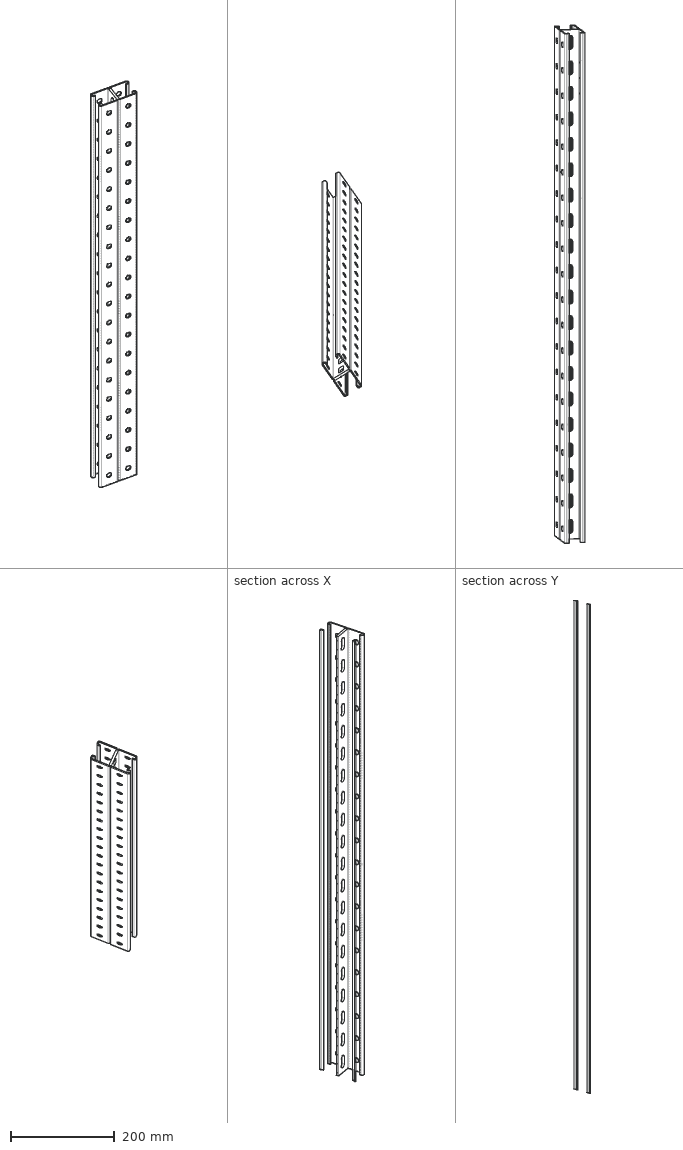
import cadquery as cq

length = 1000.0
width = 41.0
sheet = 2.5
outer_radius = 3.5
mouth = 22.0
lip_depth = 7.5
pitch = 50.0
slot_length = 27.0
slot_width = 11.0
hole_diameter = 11.0
hole_offset = 21.0

inner_radius = outer_radius - sheet
half_width = width / 2
half_mouth = mouth / 2
row_heights = [pitch * (row + 0.5) for row in range(round(length / pitch))]


def bar(x_start, x_end, y_start, y_end):
    """Full-length rectangular bar standing on Z = 0."""
    return (
        cq.Workplane("XY")
        .box(x_end - x_start, y_end - y_start, length, centered=False)
        .translate((x_start, y_start, 0))
    )


def make_lip():
    """Strip on the +X side that bends at the mouth and turns back into the channel."""
    x_end = half_width - outer_radius
    y_start = width - lip_depth
    block = bar(half_mouth, x_end, y_start, width)
    block = block.edges("|Z and <X and >Y").fillet(outer_radius)
    hollow = bar(half_mouth + sheet, x_end, y_start, width - sheet)
    hollow = hollow.edges("|Z and <X and >Y").fillet(inner_radius)
    return block.cut(hollow)


def make_channel():
    """Lipped channel with its back on Y = 0 and its mouth towards +Y."""
    outside = bar(-half_width, half_width, 0, width).edges("|Z").fillet(outer_radius)
    inside = bar(sheet - half_width, half_width - sheet, sheet, width - sheet)
    shell = outside.cut(inside.edges("|Z").fillet(inner_radius))
    opening_end = half_mouth + outer_radius
    shell = shell.cut(bar(-opening_end, opening_end, half_width, width))
    lip = make_lip()
    return shell.union(lip).union(lip.mirror("YZ"))


def make_slots():
    """Upright round-ended slots through the double web."""
    return (
        cq.Workplane("XZ")
        .pushPoints([(0, height) for height in row_heights])
        .slot2D(slot_length, slot_width, 90)
        .extrude(sheet, both=True)
    )


def make_side_holes():
    """Round holes through both side walls of each channel."""
    return (
        cq.Workplane("YZ")
        .pushPoints([(side * hole_offset, height) for side in (-1, 1) for height in row_heights])
        .circle(hole_diameter / 2)
        .extrude(half_width, both=True)
    )


channel = make_channel()
profile = channel.union(channel.mirror("XZ"))
result = profile.cut(make_slots()).cut(make_side_holes())